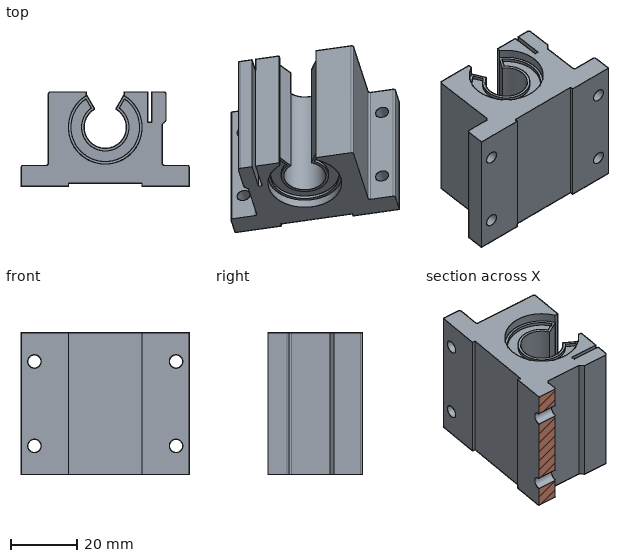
import cadquery as cq
import math

length = 42.95
height = 28.55
base_width = 50.8
flange_height = 6.4
body_half_width = 17.2
lip_half_width = 18.4
lip_bottom = 19.9
edge_radius = 0.65
relief_width = 22.15
relief_depth = 0.95

slot_width = 1.1
slot_center_x = 13.45
slot_bottom = 19.4

hole_diameter = 3.95
hole_spacing_x = 42.75
hole_spacing_z = 25.5

bore_center_y = 17.9
bearing_outer_radius = 11.1
bearing_inner_radius = 6.35
bearing_recess = 2.85
bearing_length = length - 2 * bearing_recess
opening_half_angle = math.radians(30)
opening_half_width = 5.7
seal_depth = 1.0
outer_rim = 0.75
inner_rim = 0.8
end_rim = 0.75


def outline_housing():
    half_base = base_width / 2
    lip_overhang = lip_half_width - body_half_width
    block = (
        cq.Workplane("XY")
        .polyline([
            (-half_base, 0),
            (half_base, 0),
            (half_base, flange_height),
            (body_half_width, flange_height),
            (body_half_width, lip_bottom - lip_overhang),
            (lip_half_width, lip_bottom),
            (lip_half_width, height),
            (-body_half_width, height),
            (-body_half_width, flange_height),
            (-half_base, flange_height),
        ])
        .close()
        .extrude(length)
    )
    rounded_corners = [
        (-half_base, flange_height),
        (half_base, flange_height),
        (-body_half_width, flange_height),
        (body_half_width, flange_height),
        (-body_half_width, height),
        (lip_half_width, height),
    ]
    corner_edges = block.edges("|Z").filter(
        lambda edge: any(
            math.dist((edge.Center().x, edge.Center().y), corner) < edge_radius / 2
            for corner in rounded_corners
        )
    )
    return block.newObject(corner_edges.vals()).fillet(edge_radius)


def through_box(width, center_x, bottom, top):
    """Box running the full length of the housing."""
    return (
        cq.Workplane("XY")
        .center(center_x, (bottom + top) / 2)
        .rect(width, top - bottom)
        .extrude(length)
    )


def make_housing():
    bore = (
        cq.Workplane("XY")
        .center(0, bore_center_y)
        .circle(bearing_outer_radius)
        .extrude(length)
    )
    mounting_holes = (
        cq.Workplane("XZ", origin=(0, 0, length / 2))
        .rect(hole_spacing_x, hole_spacing_z, forConstruction=True)
        .vertices()
        .circle(hole_diameter / 2)
        .extrude(-flange_height)
    )
    return (
        outline_housing()
        .cut(through_box(relief_width, 0, 0, relief_depth))
        .cut(through_box(slot_width, slot_center_x, slot_bottom, height))
        .cut(bore)
        .cut(through_box(2 * opening_half_width, 0, bore_center_y, height))
        .cut(mounting_holes)
    )


def open_ring(outer_radius, inner_radius, end_inset, start_z, depth):
    """Ring open toward +Y, its ends set back by end_inset from the radial opening faces."""
    apex_y = -end_inset / math.sin(opening_half_angle)
    wedge_top = 2 * outer_radius
    wedge_half_width = (wedge_top - apex_y) * math.tan(opening_half_angle)
    base = cq.Workplane("XY", origin=(0, bore_center_y, start_z))
    wedge = (
        base.polyline([
            (0, apex_y),
            (wedge_half_width, wedge_top),
            (-wedge_half_width, wedge_top),
        ])
        .close()
        .extrude(depth)
    )
    return base.circle(outer_radius).circle(inner_radius).extrude(depth).cut(wedge)


def make_bearing():
    bearing_top = bearing_recess + bearing_length
    bearing = open_ring(bearing_outer_radius, bearing_inner_radius, 0, bearing_recess, bearing_length)
    for recess_start in (bearing_recess, bearing_top - seal_depth):
        seal_recess = open_ring(
            bearing_outer_radius - outer_rim,
            bearing_inner_radius + inner_rim,
            end_rim,
            recess_start,
            seal_depth,
        )
        bearing = bearing.cut(seal_recess)
    return bearing


housing = make_housing()
bearing = make_bearing()
result = cq.Compound.makeCompound([housing.solids().val(), bearing.solids().val()])